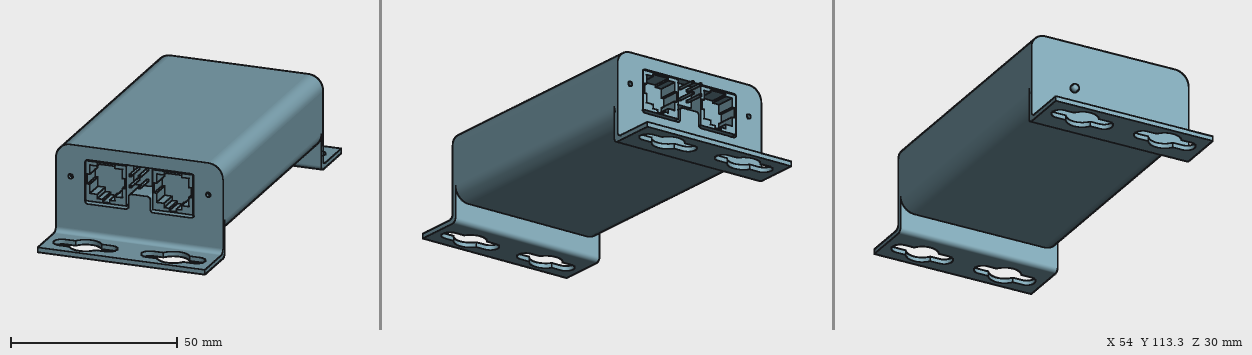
import cadquery as cq

LENGTH = 113.3
WIDTH = 54.0
HEIGHT = 30.0
BOX_LENGTH = 83.2
BOX_BOTTOM = 7.0
BOX_CORNER_RADIUS = 4.8
SHEET = 1.6
BEND_RADIUS = SHEET

SLOT_LENGTH = 20.4
SLOT_WIDTH = 5.3
SLOT_EYE_DIAMETER = 10.0
SLOT_X = 14.2
SLOT_Y = 49.9

SIDE_HOLE_DIAMETER = 1.5
SIDE_HOLE_X = 22.2
SIDE_HOLE_Z = 19.8

LAMP_DIAMETER = 2.5
LAMP_LENGTH = 1.7
LAMP_ROUNDING = 0.9
LAMP_X = 12.5
LAMP_Z = 14.6

RECESS_HALF_WIDTH = 17.6
RECESS_BOTTOM = 11.7
RECESS_TOP = 25.8
RECESS_STEP_HALF_WIDTH = 3.5
RECESS_STEP_Z = 16.7
RECESS_CORNER_RADIUS = 1.0
RECESS_DEPTH = 15.9

BASE_THICKNESS = 4.5
JACK_X = 10.8
JACK_WIDTH = 13.0
JACK_BOTTOM = 12.7
JACK_TOP = 25.5
SOCKET_DEPTH = 6.7
SOCKET_TOP_Z = 24.9
SOCKET_SHOULDER_Z = 24.3
SOCKET_EAR_TOP_Z = 21.3
SOCKET_EAR_BOTTOM_Z = 18.1
SOCKET_BODY_BOTTOM_Z = 15.2
SOCKET_STEP_BOTTOM_Z = 13.8
SOCKET_KEY_BOTTOM_Z = 13.0
SOCKET_EAR_HALF_WIDTH = 6.0
SOCKET_BODY_HALF_WIDTH = 5.2
SOCKET_STEP_HALF_WIDTH = 2.8
SOCKET_KEY_HALF_WIDTH = 1.1

HEADER_WIDTH = 6.0
HEADER_BOTTOM = 18.8
HEADER_TOP = RECESS_TOP
HEADER_CORNER_RADIUS = 0.6
HEADER_SETBACK = 3.1
PIN_DIAMETER = 0.8
PIN_PROJECTION = 4.0
PIN_TIP_CHAMFER = 0.2
PIN_X = 1.5
PIN_LEVELS = (20.6, 24.1)

FRONT_Y = -BOX_LENGTH / 2
REAR_Y = BOX_LENGTH / 2
RECESS_END_Y = FRONT_Y + RECESS_DEPTH


def extrude_back(sketch_on_xz, start_y, length):
    """Extrude an XZ sketch toward +Y, starting at start_y."""
    return sketch_on_xz.extrude(-length).translate((0, start_y, 0))


def block(x_centre, width, bottom, top, start_y, length):
    """Box given by its X centre, its Z limits and its front face."""
    outline = cq.Workplane("XZ").center(x_centre, (bottom + top) / 2).rect(width, top - bottom)
    return extrude_back(outline, start_y, length)


def end_bracket():
    """Front end plate and foot, bent from one sheet."""
    plate_back = FRONT_Y + SHEET
    foot_end = -LENGTH / 2
    bracket = (
        cq.Workplane("YZ")
        .moveTo(foot_end, 0)
        .lineTo(plate_back - BEND_RADIUS, 0)
        .radiusArc((plate_back, BEND_RADIUS), -BEND_RADIUS)
        .lineTo(plate_back, HEIGHT)
        .lineTo(FRONT_Y, HEIGHT)
        .lineTo(FRONT_Y, SHEET + BEND_RADIUS)
        .radiusArc((FRONT_Y - BEND_RADIUS, SHEET), BEND_RADIUS)
        .lineTo(foot_end, SHEET)
        .close()
        .extrude(WIDTH / 2, both=True)
    )
    return bracket.edges("|Y and >Z").fillet(BOX_CORNER_RADIUS)


def keyhole_slots():
    """Cutters for the four slots: a long slot with a round eye at its middle."""
    centres = [(x, y) for x in (-SLOT_X, SLOT_X) for y in (-SLOT_Y, SLOT_Y)]
    feet = cq.Workplane("XY").pushPoints(centres)
    slots = feet.slot2D(SLOT_LENGTH, SLOT_WIDTH).extrude(SHEET)
    eyes = feet.circle(SLOT_EYE_DIAMETER / 2).extrude(SHEET)
    return slots.union(eyes)


def recess_block(start_y, length):
    """Solid with the outline of the jack recess, from start_y toward +Y."""
    outline = (
        cq.Workplane("XZ")
        .moveTo(-RECESS_HALF_WIDTH, RECESS_TOP)
        .lineTo(RECESS_HALF_WIDTH, RECESS_TOP)
        .lineTo(RECESS_HALF_WIDTH, RECESS_BOTTOM)
        .lineTo(RECESS_STEP_HALF_WIDTH, RECESS_BOTTOM)
        .lineTo(RECESS_STEP_HALF_WIDTH, RECESS_STEP_Z)
        .lineTo(-RECESS_STEP_HALF_WIDTH, RECESS_STEP_Z)
        .lineTo(-RECESS_STEP_HALF_WIDTH, RECESS_BOTTOM)
        .lineTo(-RECESS_HALF_WIDTH, RECESS_BOTTOM)
        .close()
    )
    return extrude_back(outline, start_y, length).edges("|Y").fillet(RECESS_CORNER_RADIUS)


def lamp():
    """Lamp with a rounded tip, standing out from the rear end plate."""
    body = cq.Workplane("XZ").center(LAMP_X, LAMP_Z).circle(LAMP_DIAMETER / 2)
    return extrude_back(body, REAR_Y, LAMP_LENGTH).faces(">Y").edges().fillet(LAMP_ROUNDING)


def make_housing():
    core_length = BOX_LENGTH - 2 * SHEET
    box = block(0, WIDTH, BOX_BOTTOM, HEIGHT, -core_length / 2, core_length)
    box = box.edges("|Y").fillet(BOX_CORNER_RADIUS)
    bracket = end_bracket()
    housing = box.union(bracket).union(bracket.mirror("XZ"))

    side_holes = (
        cq.Workplane("XZ")
        .pushPoints([(-SIDE_HOLE_X, SIDE_HOLE_Z), (SIDE_HOLE_X, SIDE_HOLE_Z)])
        .circle(SIDE_HOLE_DIAMETER / 2)
    )
    housing = housing.cut(keyhole_slots())
    housing = housing.cut(extrude_back(side_holes, FRONT_Y, SHEET))
    housing = housing.cut(recess_block(FRONT_Y, RECESS_DEPTH))
    return housing.union(lamp())


def plug_socket(x_centre):
    """Cutter for the stepped plug opening of one jack."""
    levels = [
        (SOCKET_STEP_HALF_WIDTH, SOCKET_STEP_BOTTOM_Z, SOCKET_TOP_Z),
        (SOCKET_BODY_HALF_WIDTH, SOCKET_BODY_BOTTOM_Z, SOCKET_SHOULDER_Z),
        (SOCKET_EAR_HALF_WIDTH, SOCKET_EAR_BOTTOM_Z, SOCKET_EAR_TOP_Z),
        (SOCKET_KEY_HALF_WIDTH, SOCKET_KEY_BOTTOM_Z, SOCKET_TOP_Z),
    ]
    socket = cq.Workplane("XZ")
    for half_width, bottom, top in levels:
        socket = socket.union(block(x_centre, 2 * half_width, bottom, top, FRONT_Y, SOCKET_DEPTH))
    return socket


def jack(x_centre):
    """One jack body with its plug socket, reaching the end of the recess."""
    body = block(x_centre, JACK_WIDTH, JACK_BOTTOM, JACK_TOP, FRONT_Y, RECESS_DEPTH)
    return body.cut(plug_socket(x_centre))


def pin_header():
    """Rounded header block with its contact pins."""
    face_y = FRONT_Y + HEADER_SETBACK
    header = block(0, HEADER_WIDTH, HEADER_BOTTOM, HEADER_TOP, face_y, RECESS_END_Y - face_y)
    header = header.edges("|Y").fillet(HEADER_CORNER_RADIUS)
    pins = (
        cq.Workplane("XZ")
        .pushPoints([(x, z) for x in (-PIN_X, PIN_X) for z in PIN_LEVELS])
        .circle(PIN_DIAMETER / 2)
    )
    pins = extrude_back(pins, FRONT_Y - PIN_PROJECTION, PIN_PROJECTION + HEADER_SETBACK)
    return header.union(pins.faces("<Y").edges().chamfer(PIN_TIP_CHAMFER))


def make_jack_block():
    body = recess_block(RECESS_END_Y - BASE_THICKNESS, BASE_THICKNESS)
    for x_centre in (-JACK_X, JACK_X):
        body = body.union(jack(x_centre))
    return body.union(pin_header())


housing = make_housing()
jack_block = make_jack_block()
result = cq.Compound.makeCompound([housing.solids().val(), jack_block.solids().val()])